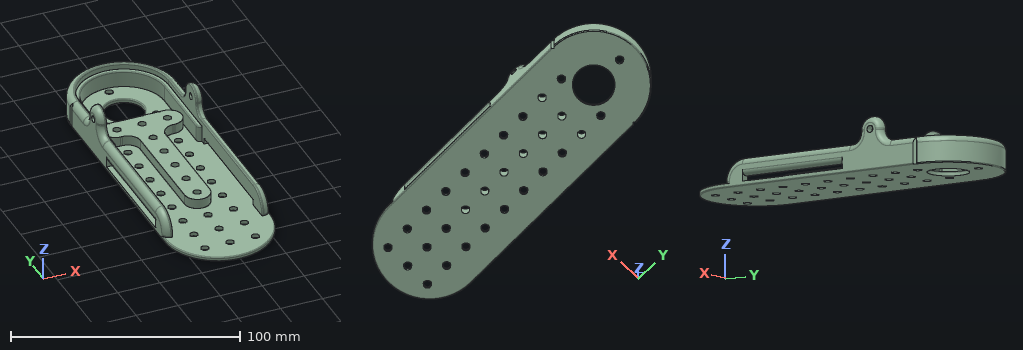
import cadquery as cq
import math

LENGTH = 152.6
WIDTH = 50.4
HEIGHT = 24.0
END_RADIUS = WIDTH / 2
END_Y = LENGTH / 2 - END_RADIUS

PLATE_THICKNESS = 2.0
EDGE_ROUND = 0.5

DIAGONAL = math.sqrt(0.5)
TOLERANCE = 0.02

WALL_THICKNESS = 4.0
WALL_TOP = 12.5
WALL_OUTER_ROUND = 3.0
WALL_END_RADIUS = 9.9

TAB_Y = 27.0
TAB_RADIUS = 6.0
TAB_Z = HEIGHT - TAB_RADIUS
TAB_BLEND = 4.9
TAB_HOLE_DIAMETER = 3.0

LEDGE_WIDTH = 2.0
LEDGE_TOP = 9.8
LEDGE_END_Y = 14.5

SLOT_Y_MIN = -END_Y + WALL_END_RADIUS
SLOT_Y_MAX = 12.2
SLOT_HEIGHT = 2.7
SLOT_LIP_ROUND = 2.3

HOLE_DIAMETER = 3.5
FIRST_ROW_Y = -64.8
LAST_ROW_Y = 67.3
ROW_COUNT = 12
PITCH = (LAST_ROW_Y - FIRST_ROW_Y) / (ROW_COUNT - 1)
FULL_ROWS = 9

HUB_DIAMETER = 18.5

T_TOP = 6.7
T_RADIUS = PITCH / 2
T_ARM_Y = FIRST_ROW_Y + (FULL_ROWS - 1) * PITCH
T_STEM_END_ROW = 3
T_STEM_END_Y = FIRST_ROW_Y + T_STEM_END_ROW * PITCH
T_ARM_HALF_LENGTH = 18.9

GROOVE_DEPTH = 0.99


def stadium(inset, bottom, top):
    """Stadium prism, inset from the outer outline, between two heights."""
    return (
        cq.Workplane("XY", origin=(0, 0, bottom))
        .slot2D(LENGTH - 2 * inset, WIDTH - 2 * inset, 90)
        .extrude(top - bottom)
    )


def block(x_size, y_min, y_max, bottom, top):
    """Box centred on X between given Y and Z limits."""
    return cq.Workplane("XY").box(x_size, y_max - y_min, top - bottom).translate(
        (0, (y_min + y_max) / 2, (bottom + top) / 2)
    )


def make_plate():
    """Base plate with its upper and lower rims rounded."""
    return stadium(0, 0, PLATE_THICKNESS).faces("|Z").edges().fillet(EDGE_ROUND)


def wall_side_profile():
    """Side outline of the wall with its tab, extruded across the whole width."""
    blend_y = TAB_RADIUS + TAB_BLEND
    blend_z = WALL_TOP + TAB_BLEND
    blend_mid_y = blend_y - TAB_BLEND * DIAGONAL
    blend_mid_z = blend_z - TAB_BLEND * DIAGONAL
    end_center_y = -END_Y + WALL_END_RADIUS
    end_center_z = WALL_TOP - WALL_END_RADIUS
    end_mid = (
        end_center_y - WALL_END_RADIUS * DIAGONAL,
        end_center_z + WALL_END_RADIUS * DIAGONAL,
    )
    return (
        cq.Workplane("YZ", origin=(-WIDTH, 0, 0))
        .moveTo(-END_Y, EDGE_ROUND)
        .lineTo(-END_Y, end_center_z)
        .threePointArc(end_mid, (end_center_y, WALL_TOP))
        .lineTo(TAB_Y - blend_y, WALL_TOP)
        .threePointArc((TAB_Y - blend_mid_y, blend_mid_z), (TAB_Y - TAB_RADIUS, blend_z))
        .lineTo(TAB_Y - TAB_RADIUS, TAB_Z)
        .threePointArc((TAB_Y, HEIGHT), (TAB_Y + TAB_RADIUS, TAB_Z))
        .lineTo(TAB_Y + TAB_RADIUS, blend_z)
        .threePointArc((TAB_Y + blend_mid_y, blend_mid_z), (TAB_Y + blend_y, WALL_TOP))
        .lineTo(LENGTH, WALL_TOP)
        .lineTo(LENGTH, EDGE_ROUND)
        .close()
        .extrude(2 * WIDTH)
    )


def rim_edges(wall, inset):
    """Upper and end edges of the wall on the outline with the given inset."""

    def on_rim(edge):
        middle = edge.positionAt(0.5)
        beyond_center = max(0, middle.y - END_Y)
        on_outline = abs(math.hypot(middle.x, beyond_center) - (END_RADIUS - inset)) < TOLERANCE
        is_seam = abs(middle.y - END_Y) < TOLERANCE
        return on_outline and not is_seam and middle.z > EDGE_ROUND + TOLERANCE

    return wall.newObject([edge for edge in wall.edges().vals() if on_rim(edge)])


def make_wall():
    """Wall following the outline, trimmed to the side profile and rounded along its rim."""
    ring = stadium(0, EDGE_ROUND, HEIGHT).cut(stadium(WALL_THICKNESS, 0, HEIGHT))
    wall = ring.intersect(wall_side_profile())
    wall = rim_edges(wall, 0).fillet(WALL_OUTER_ROUND)
    return rim_edges(wall, WALL_THICKNESS).fillet(EDGE_ROUND)


def make_ledge():
    """Ledge with rounded free ends; its outer side is buried in the wall."""
    band = stadium(WALL_THICKNESS / 2, PLATE_THICKNESS / 2, LEDGE_TOP)
    opening = stadium(WALL_THICKNESS + LEDGE_WIDTH, 0, HEIGHT)
    ledge = band.cut(opening).intersect(block(WIDTH, LEDGE_END_Y, LENGTH, 0, HEIGHT))
    inner_half_width = END_RADIUS - WALL_THICKNESS - LEDGE_WIDTH
    inner_end_corners = cq.selectors.BoxSelector(
        (-inner_half_width - TOLERANCE, LEDGE_END_Y - TOLERANCE, 0),
        (inner_half_width + TOLERANCE, LEDGE_END_Y + TOLERANCE, HEIGHT),
    )
    ledge = ledge.edges("|Z").edges(inner_end_corners).fillet(LEDGE_WIDTH)
    return ledge.faces(">Z").edges().fillet(EDGE_ROUND)


def make_raised_t():
    """Raised T with rounded arm and stem ends, rooted inside the plate."""
    height = T_TOP - PLATE_THICKNESS / 2
    plane = cq.Workplane("XY", origin=(0, 0, PLATE_THICKNESS / 2))
    arm = plane.center(0, T_ARM_Y).slot2D(2 * T_ARM_HALF_LENGTH, 2 * T_RADIUS).extrude(height)
    stem_length = T_ARM_Y - T_STEM_END_Y + 2 * T_RADIUS
    stem = (
        plane.center(0, (T_ARM_Y + T_STEM_END_Y) / 2)
        .slot2D(stem_length, 2 * T_RADIUS, 90)
        .extrude(height)
    )
    fill = (
        plane.center(0, T_ARM_Y - T_RADIUS)
        .rect(4 * T_RADIUS, 2 * T_RADIUS)
        .extrude(height)
    )
    corner_rounds = (
        plane.pushPoints([(side * 2 * T_RADIUS, T_ARM_Y - 2 * T_RADIUS) for side in (-1, 1)])
        .circle(T_RADIUS)
        .extrude(height)
    )
    return fill.cut(corner_rounds).union(arm).union(stem)


def make_small_holes():
    """Hole grid, thinned out around the large hole at the closed end."""
    points = []
    for row in range(ROW_COUNT):
        y = FIRST_ROW_Y + row * PITCH
        if row < FULL_ROWS:
            columns = (-1, 0, 1)
        elif row == FULL_ROWS:
            columns = (-1, 1)
        elif row == ROW_COUNT - 1:
            columns = (0,)
        else:
            columns = ()
        points += [(column * PITCH, y) for column in columns]
    return cq.Workplane("XY").pushPoints(points).circle(HOLE_DIAMETER / 2).extrude(HEIGHT)


def make_hub_hole():
    """Large hole whose upper rim flares out with a small round."""
    radius = HUB_DIAMETER / 2
    shoulder = PLATE_THICKNESS - EDGE_ROUND
    bend = EDGE_ROUND * (1 - DIAGONAL)
    return (
        cq.Workplane("XZ")
        .moveTo(0, 0)
        .lineTo(radius, 0)
        .lineTo(radius, shoulder)
        .threePointArc(
            (radius + bend, PLATE_THICKNESS - bend), (radius + EDGE_ROUND, PLATE_THICKNESS)
        )
        .lineTo(0, PLATE_THICKNESS)
        .close()
        .revolve(360, (0, 0, 0), (0, 1, 0))
        .translate((0, END_Y, 0))
    )


def make_side_slots():
    """One slot through each side wall; the outer upper lip is rounded."""
    inner_x = END_RADIUS - WALL_THICKNESS
    slot_top = PLATE_THICKNESS + SLOT_HEIGHT
    lip_x = END_RADIUS - SLOT_LIP_ROUND
    lip_top = slot_top + SLOT_LIP_ROUND
    bend = SLOT_LIP_ROUND * DIAGONAL
    slot = (
        cq.Workplane("XZ", origin=(0, SLOT_Y_MAX, 0))
        .moveTo(inner_x, PLATE_THICKNESS)
        .lineTo(inner_x, slot_top)
        .lineTo(lip_x, slot_top)
        .threePointArc((lip_x + bend, lip_top - bend), (END_RADIUS, lip_top))
        .lineTo(END_RADIUS, PLATE_THICKNESS)
        .close()
        .extrude(SLOT_Y_MAX - SLOT_Y_MIN)
    )
    return slot.union(slot.mirror("YZ"))


def make_tab_holes():
    """Pivot hole along X through both tabs."""
    return (
        cq.Workplane("YZ", origin=(-WIDTH, 0, 0))
        .center(TAB_Y, TAB_Z)
        .circle(TAB_HOLE_DIAMETER / 2)
        .extrude(2 * WIDTH)
    )


def make_grooves():
    """Square bars standing on edge that carve a V into each side."""
    return (
        cq.Workplane("XY")
        .pushPoints([(-END_RADIUS, END_Y), (END_RADIUS, END_Y)])
        .polygon(4, 2 * GROOVE_DEPTH)
        .extrude(HEIGHT)
    )


result = make_plate().union(make_wall()).union(make_ledge()).union(make_raised_t())
for cutter in (
    make_small_holes(),
    make_hub_hole(),
    make_side_slots(),
    make_tab_holes(),
    make_grooves(),
):
    result = result.cut(cutter)